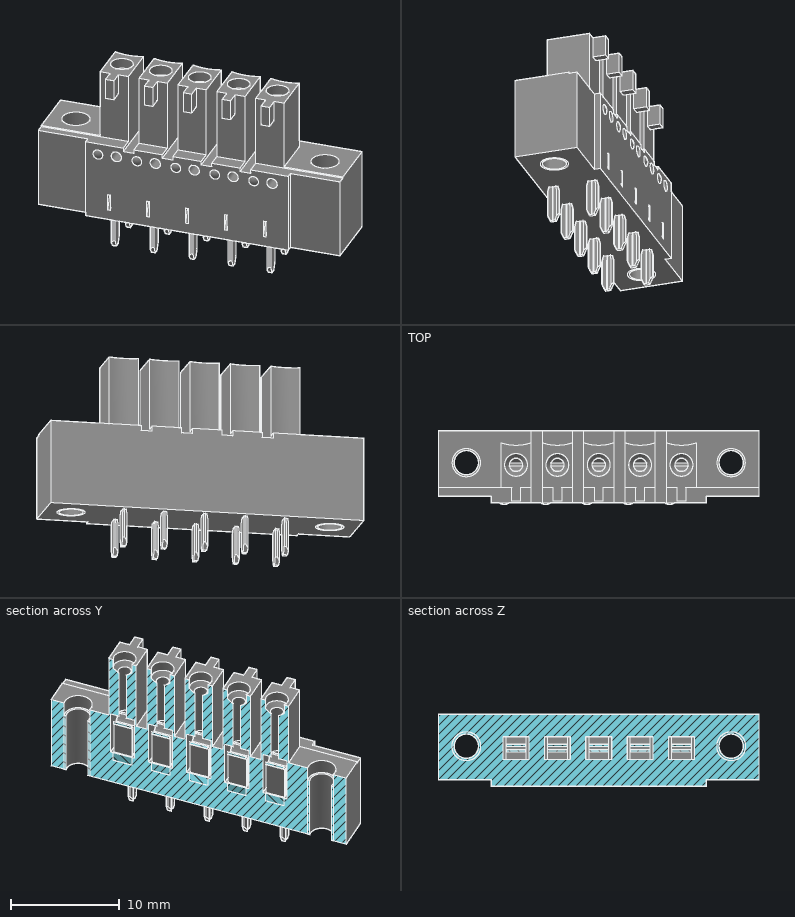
import cadquery as cq
import math


LENGTH = 29.45
BODY_HEIGHT = 7.83
LEDGE_HEIGHT = 7.7
LEDGE_Y = -5.25
FLANGE_FRONT_Y = -6.04
FRONT_Y = -6.62
FLANGE_LENGTH = 4.83
CENTRE_LENGTH = LENGTH - 2 * FLANGE_LENGTH

PITCH = 3.8
POSITIONS = 5
STATION_X = [PITCH * (i - (POSITIONS - 1) / 2) for i in range(POSITIONS)]

TOWER_WIDTH = 2.77
TOWER_REAR_Y = -1.12
TOWER_TOP_Z = 14.48
TOWER_HOLLOW = 0.25
KEY_WIDTH = 0.82
KEY_HEIGHT = 1.97
KEY_FRONT_Y = -6.48
GAP_FLOOR_Z = 7.35
GAP_WIDTH = PITCH - TOWER_WIDTH

BORE_Y = -3.15
BORE_DIAMETER = 2.1
BORE_DEPTH = 1.0
THROAT_DIAMETER = 1.2
CONE_DEPTH = (BORE_DIAMETER - THROAT_DIAMETER) / 2
CHAMBER_WIDTH = 2.35
CHAMBER_DEPTH = 2.05
CHAMBER_TOP_Z = 7.95

DOT_DIAMETER = 0.95
DOT_HEIGHT = 0.18
DOT_ROOT = 0.3
DOT_OFFSET_X = -1.1
DOT_Z = 6.6
TEST_HOLE_DIAMETER = 1.0
TEST_HOLE_OFFSET_X = 0.7
TEST_HOLE_Z = 6.68
SLIT_WIDTH = 0.26
SLIT_BOTTOM_Z = 1.0
SLIT_RAMP_TOP_Z = 2.3
SLIT_TOP_Z = 2.55
SLIT_DEPTH = 0.53

BUSHING_X = 12.15
BUSHING_Y = -2.95
BUSHING_OUTER = 2.6
BUSHING_INNER = 2.2
BUSHING_RECESS = 1.4

PIN_SPACING = PITCH
CONTACT_Y = -3.12
PIN_Y = [CONTACT_Y - PIN_SPACING / 2, CONTACT_Y + PIN_SPACING / 2]
PIN_WIDTH = 1.15
PIN_THICKNESS = 0.45
PIN_LENGTH = 3.42
PIN_RIDGE_Y = 0.4
PIN_EDGE_X = 0.03
PIN_GROOVE_X = -0.1
PIN_GROOVE_FLOOR = 0.1
NECK_LENGTH = 0.45
NECK_RATIO = 0.8
TIP_LENGTH = 0.7
TIP_WIDTH = 0.5
BRIDGE_BOTTOM_Z = 2.65
BRIDGE_TOP_Z = 3.53
CONTACT_WIDTH = 1.83
JAW_GAP = 0.26
JAW_THICKNESS = 0.25
FLARE_BOTTOM_Z = 6.8
FLARE_MIDDLE_Z = 6.98
FLARE_TOP_Z = 7.42
FLARE_MIDDLE_SHIFT = 0.18
FLARE_TOP_SHIFT = 0.47


def box(x_size, y_range, z_range, x_centre=0.0):
    """Box centred on x_centre, between two Y values and two Z values."""
    y_low, y_high = sorted(y_range)
    z_low, z_high = z_range
    return (
        cq.Workplane("XY", origin=(x_centre, 0, z_low))
        .center(0, (y_low + y_high) / 2)
        .rect(x_size, y_high - y_low)
        .extrude(z_high - z_low)
    )


def cylinder(x, y, diameter, z_range):
    """Upright cylinder."""
    z_low, z_high = z_range
    return cq.Workplane("XY", origin=(x, y, z_low)).circle(diameter / 2).extrude(z_high - z_low)


def pin_section(z, scale):
    """Outline of a pin: flat on +X, with a groove of V shape between two ridges on -X."""
    back = PIN_THICKNESS / 2
    half = PIN_WIDTH / 2
    points = [
        (back, -half),
        (PIN_EDGE_X, -half),
        (-back, -PIN_RIDGE_Y),
        (PIN_GROOVE_X, -PIN_GROOVE_FLOOR / 2),
        (PIN_GROOVE_X, PIN_GROOVE_FLOOR / 2),
        (-back, PIN_RIDGE_Y),
        (PIN_EDGE_X, half),
        (back, half),
    ]
    return cq.Workplane("XY", origin=(0, 0, z)).polyline([(scale * x, scale * y) for x, y in points]).close()


def legs():
    """The straight legs above the pins, which fill their passages in the housing."""
    leg = pin_section(0, NECK_RATIO).extrude(BRIDGE_BOTTOM_Z)
    return [leg.translate((0, y, 0)) for y in PIN_Y]


def pin():
    """Widening neck and grooved shank with a tip tapered in Y."""
    neck_start = pin_section(0, NECK_RATIO).wire().val()
    neck_end = pin_section(-NECK_LENGTH, 1).wire().val()
    neck = cq.Workplane(cq.Solid.makeLoft([neck_start, neck_end], True))
    shank = pin_section(-PIN_LENGTH, 1).extrude(PIN_LENGTH - NECK_LENGTH)
    half = PIN_WIDTH / 2
    taper_z = TIP_LENGTH - PIN_LENGTH
    envelope = (
        cq.Workplane("YZ", origin=(-PIN_THICKNESS / 2, 0, 0))
        .polyline([
            (-half, 0), (-half, taper_z), (-TIP_WIDTH / 2, -PIN_LENGTH),
            (TIP_WIDTH / 2, -PIN_LENGTH), (half, taper_z), (half, 0),
        ])
        .close()
        .extrude(PIN_THICKNESS)
    )
    return neck.union(shank.intersect(envelope))


def jaw(side):
    """One spring jaw that bends outwards in two steps at its top; side is +1 or -1 along Y."""
    inner = [
        (JAW_GAP / 2, BRIDGE_TOP_Z),
        (JAW_GAP / 2, FLARE_BOTTOM_Z),
        (JAW_GAP / 2 + FLARE_MIDDLE_SHIFT, FLARE_MIDDLE_Z),
        (JAW_GAP / 2 + FLARE_TOP_SHIFT, FLARE_TOP_Z),
    ]
    outer = [(y + JAW_THICKNESS, z) for y, z in reversed(inner)]
    profile = [(CONTACT_Y + side * y, z) for y, z in inner + outer]
    return (
        cq.Workplane("YZ", origin=(-CONTACT_WIDTH / 2, 0, 0))
        .polyline(profile)
        .close()
        .extrude(CONTACT_WIDTH)
    )


def bridge():
    """Cross bar that joins both legs and carries the jaws."""
    half = PIN_SPACING / 2 + PIN_WIDTH / 2
    return box(CONTACT_WIDTH, (CONTACT_Y - half, CONTACT_Y + half), (BRIDGE_BOTTOM_Z, BRIDGE_TOP_Z))


def make_contact():
    body = bridge().union(jaw(1)).union(jaw(-1))
    for leg, y in zip(legs(), PIN_Y):
        body = body.union(leg).union(pin().translate((0, y, 0)))
    return body


def make_bushing(x):
    span = (0, BODY_HEIGHT - BUSHING_RECESS)
    return cylinder(x, BUSHING_Y, BUSHING_OUTER, span).cut(cylinder(x, BUSHING_Y, BUSHING_INNER, span))


def block():
    """Flanged block with a lower ledge along its front."""
    rear = box(LENGTH, (LEDGE_Y, 0), (0, BODY_HEIGHT))
    ledge = box(LENGTH, (FLANGE_FRONT_Y, LEDGE_Y), (0, LEDGE_HEIGHT))
    centre = box(CENTRE_LENGTH, (FRONT_Y, LEDGE_Y), (0, LEDGE_HEIGHT))
    return rear.union(ledge).union(centre)


def tower(x):
    """Tower with a hollow rear face and a key at the top of its front."""
    half = TOWER_WIDTH / 2
    column = (
        cq.Workplane("XY", origin=(x, 0, GAP_FLOOR_Z))
        .moveTo(-half, LEDGE_Y)
        .lineTo(-half, TOWER_REAR_Y)
        .threePointArc((0, TOWER_REAR_Y - TOWER_HOLLOW), (half, TOWER_REAR_Y))
        .lineTo(half, LEDGE_Y)
        .close()
        .extrude(TOWER_TOP_Z - GAP_FLOOR_Z)
    )
    key = box(KEY_WIDTH, (KEY_FRONT_Y, LEDGE_Y), (TOWER_TOP_Z - KEY_HEIGHT, TOWER_TOP_Z), x)
    return column.union(key)


def tower_gap(x):
    """Channel from front to rear between two towers."""
    return box(GAP_WIDTH, (FRONT_Y, 0), (GAP_FLOOR_Z, BODY_HEIGHT), x)


def tower_bore(x):
    """Bore, cone and throat on one axis, down into the chamber."""
    cone_top_z = TOWER_TOP_Z - BORE_DEPTH
    bore = cylinder(x, BORE_Y, BORE_DIAMETER, (cone_top_z, TOWER_TOP_Z))
    cone = cq.Workplane(cq.Solid.makeCone(
        BORE_DIAMETER / 2, THROAT_DIAMETER / 2, CONE_DEPTH,
        cq.Vector(x, BORE_Y, cone_top_z), cq.Vector(0, 0, -1),
    ))
    throat = cylinder(x, BORE_Y, THROAT_DIAMETER, (CHAMBER_TOP_Z, cone_top_z))
    return bore.union(cone).union(throat)


def contact_cavity(x):
    """Passages that fit the legs and the bridge, and the chamber around the jaws."""
    chamber_y = (CONTACT_Y - CHAMBER_DEPTH / 2, CONTACT_Y + CHAMBER_DEPTH / 2)
    cavity = bridge().union(box(CHAMBER_WIDTH, chamber_y, (BRIDGE_TOP_Z, CHAMBER_TOP_Z)))
    for leg in legs():
        cavity = cavity.union(leg)
    return cavity.translate((x, 0, 0))


def test_hole(x):
    """Round hole from the front face into the chamber."""
    return (
        cq.Workplane("XZ", origin=(x + TEST_HOLE_OFFSET_X, FRONT_Y, TEST_HOLE_Z))
        .circle(TEST_HOLE_DIAMETER / 2)
        .extrude(FRONT_Y - CONTACT_Y + CHAMBER_DEPTH / 2)
    )


def front_dot(x):
    """Spherical cap that stands out of the front face, revolved about its own axis along Y."""
    rim = DOT_DIAMETER / 2
    sphere_radius = (rim ** 2 + DOT_HEIGHT ** 2) / (2 * DOT_HEIGHT)
    half_angle = math.asin(rim / sphere_radius) / 2
    mid_radius = sphere_radius * math.sin(half_angle)
    mid_height = DOT_HEIGHT - sphere_radius * (1 - math.cos(half_angle))
    return (
        cq.Workplane("XY", origin=(x + DOT_OFFSET_X, FRONT_Y, DOT_Z))
        .moveTo(0, DOT_ROOT)
        .lineTo(rim, DOT_ROOT)
        .lineTo(rim, 0)
        .threePointArc((mid_radius, -mid_height), (0, -DOT_HEIGHT))
        .close()
        .revolve(360, (0, 0), (0, 1))
    )


def slit(x):
    """Narrow pocket in the front face with a ramp as its floor."""
    deep_y = FRONT_Y + SLIT_DEPTH
    return (
        cq.Workplane("YZ", origin=(x - SLIT_WIDTH / 2, 0, 0))
        .polyline([
            (FRONT_Y, SLIT_BOTTOM_Z), (deep_y, SLIT_RAMP_TOP_Z), (deep_y, SLIT_TOP_Z), (FRONT_Y, SLIT_TOP_Z),
        ])
        .close()
        .extrude(SLIT_WIDTH)
    )


def make_housing():
    body = block()
    for left_x in STATION_X[:-1]:
        body = body.cut(tower_gap(left_x + PITCH / 2))
    for x in STATION_X:
        body = body.union(tower(x)).union(front_dot(x))
        body = body.cut(tower_bore(x)).cut(contact_cavity(x)).cut(test_hole(x)).cut(slit(x))
    for x in (-BUSHING_X, BUSHING_X):
        body = body.cut(cylinder(x, BUSHING_Y, BUSHING_OUTER, (0, BODY_HEIGHT)))
    return body


housing = make_housing()
contacts = [make_contact().translate((x, 0, 0)) for x in STATION_X]
bushings = [make_bushing(x) for x in (-BUSHING_X, BUSHING_X)]

result = cq.Compound.makeCompound([
    housing.val(),
    *[contact.val() for contact in contacts],
    *[bushing.val() for bushing in bushings],
])